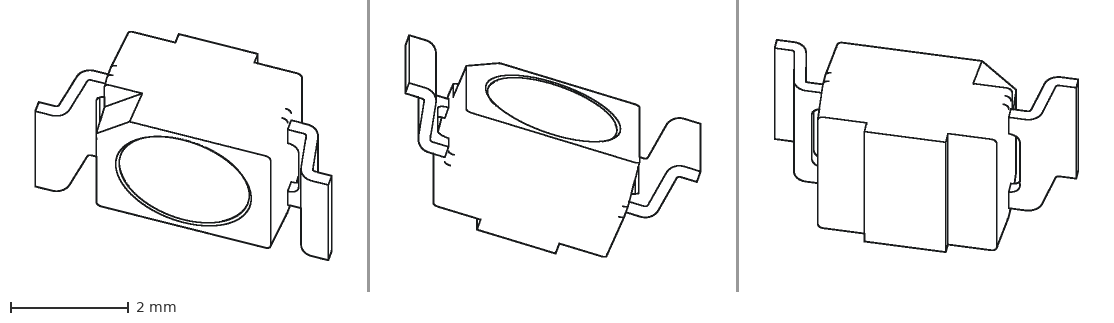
import cadquery as cq
import math


overall_length = 5.2
lead_thickness = 0.205
lead_height = 2.2
leg_angle = 9.7
leg_reach = 0.4
inner_bend_radius = 0.05
outer_bend_radius = inner_bend_radius + lead_thickness
slot_height = 1.405
slot_depth = 0.19
slot_corner_radius = 0.185

housing_length = 3.205
housing_height = 2.8
housing_corner_radius = 0.1
draft_angle = 4.0
front_depth = 0.8
rear_depth = 0.8
tab_depth = 0.2
tab_length = 1.405
front_y = 0.1

corner_cut_leg = 0.7
corner_cut_gap = 0.205

lens_radius = 1.155
lens_depth = 0.2
recess_bevel = 0.0495
lens_rim_radius = 0.0495

band_front_y = front_y + front_depth
band_rear_y = band_front_y + lead_thickness
rear_y = band_rear_y + rear_depth
half_length = overall_length / 2
housing_side = housing_length / 2


def y_plane(y, direction):
    """Sketch plane at depth y whose normal points along +Y or -Y."""
    return cq.Plane(origin=(0, y, 0), xDir=(1, 0, 0), normal=(0, direction, 0))


def extrude_band(y, direction, depth, draft=0):
    """Extrude the outline of the parting band along Y, with optional draft and rounded corners."""
    outline = cq.Workplane(y_plane(y, direction)).rect(housing_length, housing_height)
    block = outline.extrude(depth, taper=draft)
    return block.edges("not(|X or |Z)").fillet(housing_corner_radius)


def make_housing():
    band = extrude_band(band_front_y, 1, lead_thickness)
    front = extrude_band(band_front_y, -1, front_depth, draft_angle)
    rear = extrude_band(band_rear_y, 1, rear_depth + tab_depth, draft_angle)
    housing = band.union(front).union(rear)

    tab_side_length = (housing_length - tab_length) / 2
    for side in (-1, 1):
        beside_tab = cq.Workplane("XY").box(tab_side_length, tab_depth, housing_height)
        side_x = side * (tab_length + tab_side_length) / 2
        housing = housing.cut(beside_tab.translate((side_x, rear_y + tab_depth / 2, 0)))

    top_z = housing_height / 2
    corner_cut = (
        cq.Workplane("XZ", origin=(0, band_front_y - corner_cut_gap, 0))
        .polyline([
            (-housing_side, top_z),
            (-housing_side + corner_cut_leg, top_z),
            (-housing_side, top_z - corner_cut_leg),
        ])
        .close()
        .extrude(front_depth)
    )
    housing = housing.cut(corner_cut)

    housing = housing.cut(lens_blank())
    return housing.faces("<Y").edges(cq.selectors.RadiusNthSelector(-1)).chamfer(recess_bevel)


def lens_blank():
    """Disc that fills the lens recess."""
    return cq.Workplane(y_plane(front_y, 1)).circle(lens_radius).extrude(lens_depth)


def make_lens():
    return lens_blank().faces("<Y").edges().fillet(lens_rim_radius)


def make_lead():
    """Bent lead on the -X side, ending against the housing band."""
    slope = math.tan(math.radians(leg_angle))
    leg_width = lead_thickness / math.cos(math.radians(leg_angle))
    mid_y = band_rear_y / 2

    def leg_x(y):
        return -half_length + leg_reach + (y - mid_y) * slope

    profile = (
        cq.Workplane("XY", origin=(0, 0, -lead_height / 2))
        .polyline([
            (-half_length, 0),
            (leg_x(0) + leg_width, 0),
            (leg_x(band_front_y) + leg_width, band_front_y),
            (-housing_side, band_front_y),
            (-housing_side, band_rear_y),
            (leg_x(band_rear_y), band_rear_y),
            (leg_x(lead_thickness), lead_thickness),
            (-half_length, lead_thickness),
        ])
        .close()
        .extrude(lead_height)
    )

    def bend_edge(x, y):
        return cq.selectors.NearestToPointSelector((x, y, 0))

    outer_bends = [(leg_x(0) + leg_width, 0), (leg_x(band_rear_y), band_rear_y)]
    inner_bends = [
        (leg_x(band_front_y) + leg_width, band_front_y),
        (leg_x(lead_thickness), lead_thickness),
    ]
    for radius, corners in ((outer_bend_radius, outer_bends), (inner_bend_radius, inner_bends)):
        for x, y in corners:
            profile = profile.edges("|Z").edges(bend_edge(x, y)).fillet(radius)

    slot = (
        cq.Workplane("XY")
        .box(2 * slot_depth, 2 * lead_thickness, slot_height)
        .edges("|Y")
        .fillet(slot_corner_radius)
        .translate((-housing_side, (band_front_y + band_rear_y) / 2, 0))
    )
    return profile.cut(slot)


housing = make_housing()
lens = make_lens()
lead = make_lead()
leads = [lead, lead.mirror("YZ")]

result = cq.Compound.makeCompound([housing.val(), lens.val(), *[body.val() for body in leads]])